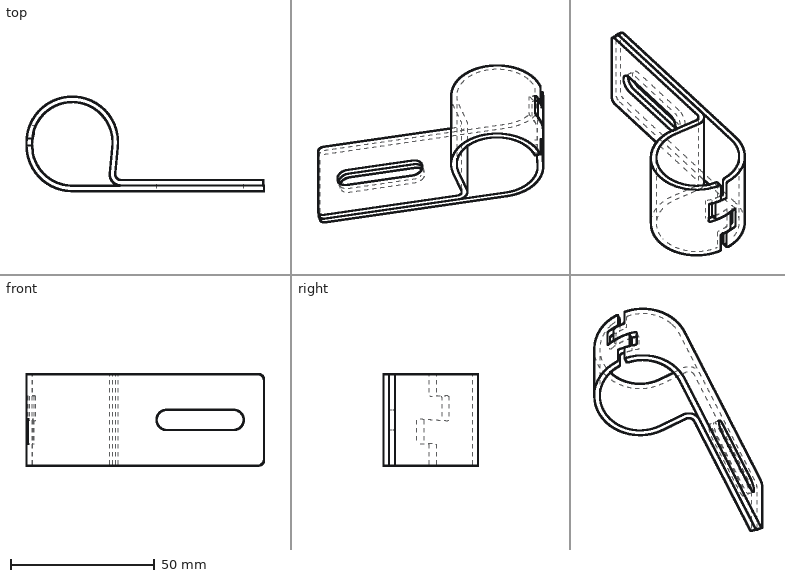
import cadquery as cq
import math

length = 83.0
height = 32.0
thickness = 2.0
corner_radius = 2.0

loop_radius = 16.0
inner_radius = loop_radius - thickness
rear_shift = 1.1
loop_x = loop_radius
front_y = loop_radius
rear_y = front_y + rear_shift
arc_overrun = 28.0

bend_x = 33.0
bend_inner = 2.0
bend_outer = bend_inner + thickness
bend_y = thickness + bend_outer
rear_setback = 0.25

slot_length = 30.4
slot_width = 7.0
slot_x = 60.7

joint_y = 17.3
end_offset = 1.25
tab_reach = 3.15
socket_reach = tab_reach + 2 * end_offset
tab_height = 8.26
tab_flare = 0.04
middle_slope = 0.065
joint_fillet = 0.6
joint_depth = 6.6
joint_span = 9.1


def polar(center_x, center_y, radius, degrees):
    """Point on a circle in the XY plane."""
    angle = math.radians(degrees)
    return (center_x + radius * math.cos(angle), center_y + radius * math.sin(angle))


def joint_outline():
    """(Y, Z) outline of the rear strap end, relative to the joint centre."""
    top = height / 2
    far = 2 * joint_span

    def upper_flank(y):
        return (y, tab_height + tab_flare * y)

    def middle_flank(y):
        return (y, -middle_slope * y)

    def lower_flank(y):
        return (y, -tab_height + tab_flare * y)

    return [
        (far, top),
        (end_offset, top),
        upper_flank(end_offset),
        upper_flank(socket_reach),
        middle_flank(socket_reach),
        middle_flank(-tab_reach),
        lower_flank(-tab_reach),
        lower_flank(end_offset),
        (end_offset, -top),
        (far, -top),
    ]


def joint_trim(side):
    """Material to remove from a strap end: side is 1 for the rear strap, -1 for the front one."""
    outline = [(joint_y + side * y, side * z) for y, z in joint_outline()]
    kept = cq.Workplane("YZ").polyline(outline).close().extrude(joint_depth)
    kept = kept.edges("|X").fillet(joint_fillet)
    region = cq.Workplane("XY").box(joint_depth, 2 * joint_span, height).translate(
        (joint_depth / 2, joint_y, 0))
    return region.cut(kept)


def slot_cutter():
    return (
        cq.Workplane("XZ")
        .center(slot_x, 0)
        .slot2D(slot_length, slot_width)
        .extrude(bend_y, both=True)
    )


def finish_strap(profile, side):
    """Extrude a strap profile, round its free corners, then cut its slot and joint end."""
    strap = profile.close().extrude(height / 2, both=True)
    strap = strap.faces(">X").edges("|Y").fillet(corner_radius)
    return strap.cut(slot_cutter()).cut(joint_trim(side)).solids()


def make_front_strap():
    end = 180 - arc_overrun
    middle = (end + 270) / 2
    profile = (
        cq.Workplane("XY")
        .moveTo(length, 0)
        .lineTo(loop_x, 0)
        .threePointArc(
            polar(loop_x, front_y, loop_radius, middle),
            polar(loop_x, front_y, loop_radius, end))
        .lineTo(*polar(loop_x, front_y, inner_radius, end))
        .threePointArc(polar(loop_x, front_y, inner_radius, middle), (loop_x, thickness))
        .lineTo(length, thickness)
    )
    return finish_strap(profile, -1)


def make_rear_strap():
    span_x = bend_x - loop_x
    span_y = bend_y - rear_y
    neck = math.degrees(
        math.atan2(span_y, span_x)
        + math.acos((loop_radius + bend_inner) / math.hypot(span_x, span_y)))
    end = 180 + arc_overrun
    loop_middle = (neck + end) / 2
    bend_start = 180 + neck
    bend_middle = (bend_start + 270) / 2
    tip_x = length - rear_setback
    profile = (
        cq.Workplane("XY")
        .moveTo(tip_x, thickness)
        .lineTo(bend_x, thickness)
        .threePointArc(
            polar(bend_x, bend_y, bend_outer, bend_middle),
            polar(bend_x, bend_y, bend_outer, bend_start))
        .lineTo(*polar(loop_x, rear_y, inner_radius, neck))
        .threePointArc(
            polar(loop_x, rear_y, inner_radius, loop_middle),
            polar(loop_x, rear_y, inner_radius, end))
        .lineTo(*polar(loop_x, rear_y, loop_radius, end))
        .threePointArc(
            polar(loop_x, rear_y, loop_radius, loop_middle),
            polar(loop_x, rear_y, loop_radius, neck))
        .lineTo(*polar(bend_x, bend_y, bend_inner, bend_start))
        .threePointArc(polar(bend_x, bend_y, bend_inner, bend_middle), (bend_x, 2 * thickness))
        .lineTo(tip_x, 2 * thickness)
    )
    return finish_strap(profile, 1)


front_strap = make_front_strap()
rear_strap = make_rear_strap()
result = cq.Compound.makeCompound([front_strap.val(), rear_strap.val()])